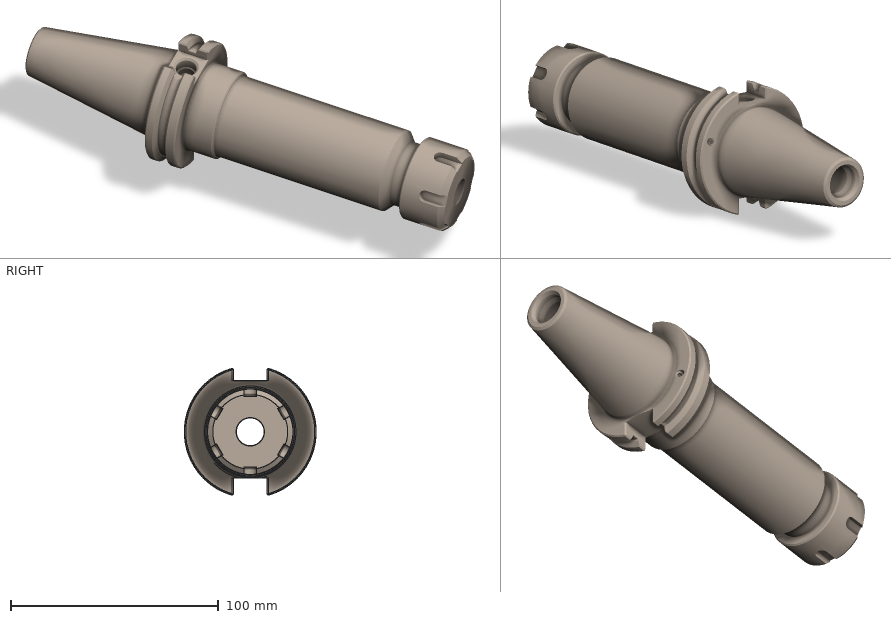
import cadquery as cq
import math

TOTAL_LENGTH = 223.7
TAPER_END_X = 68.7
FLANGE_FRONT_X = 71.8
FLANGE_BACK_X = 87.7
SHOULDER_X = 103.4
SHAFT_END_X = 190.2
NECK_START_X = 194.2
NUT_BACK_X = 201.0
NUT_CAVITY_END_X = 219.2

GAUGE_DIAMETER = 44.5
TAPER_RATIO = 7 / 24
FLANGE_DIAMETER = 63.5
SHOULDER_DIAMETER = 44.0
SHAFT_DIAMETER = 41.0
NECK_DIAMETER = 32.0
END_CHAMFER_LENGTH = 1.0
END_CHAMFER_DEPTH = 1.1
SHOULDER_CHAMFER = 0.7
SHOULDER_FILLET = 0.7
FRONT_FILLET = 1.1
BACK_FILLET = 1.0

ARC_INSET = 1 - math.sqrt(0.5)

RIM_CHAMFER = 0.7
GROOVE_CENTER_X = 79.5
GROOVE_FLOOR_WIDTH = 4.0
GROOVE_FLOOR_DIAMETER = 56.4
GROOVE_V_DEPTH = 2.7
GROOVE_WALL_ANGLE = 30.0

SLOT_WIDTH = 16.0
SLOT_CHAMFER = 0.7
UPPER_SLOT_FLOOR_Z = 24.5
LOWER_SLOT_FLOOR_Z = -22.4
DRILL_DIAMETER = 8.0
DRILL_THREAD_DIAMETER = 10.0
DRILL_MOUTH_DIAMETER = 12.0
DRILL_THREAD_DEPTH = 5.5
DRILL_DEPTH = 9.0
DRILL_TIP_ANGLE = 130.0

BORE_DIAMETER = 13.5
MOUTH_DIAMETER = 18.1
THREAD_DIAMETER = 16.0
MOUTH_CHAMFER_END_X = 2.0
THREAD_END_X = 4.7
BORE_START_X = 7.0

NUT_DIAMETER = 41.4
NUT_BACK_CHAMFER = 0.7
NUT_FRONT_CHAMFER = 2.7
WRENCH_SLOT_COUNT = 6
WRENCH_SLOT_WIDTH = 6.0
WRENCH_SLOT_LENGTH = 13.2
WRENCH_SLOT_FLOOR_RADIUS = 17.0

SCREW_DIAMETER = 4.0
SCREW_LENGTH = 3.4
SCREW_RECESS = 1.8
SCREW_TILT = 44.0
SCREW_SPACING_Y = 25.3
SCREW_SPACING_Z = 9.0
HEX_WIDTH = 2.0
HEX_DEPTH = 1.3


def x_cylinder(start_x, end_x, diameter):
    return cq.Workplane("YZ", origin=(start_x, 0, 0)).circle(diameter / 2).extrude(end_x - start_x)


def revolve_about_x(outline):
    return outline.close().revolve(360, (0, 0, 0), (1, 0, 0))



def holder_blank():
    taper_end_radius = GAUGE_DIAMETER / 2
    small_end_radius = taper_end_radius - TAPER_END_X * TAPER_RATIO / 2
    chamfered_radius = small_end_radius + END_CHAMFER_LENGTH * TAPER_RATIO / 2
    rim_radius = FLANGE_DIAMETER / 2
    groove_v_radius = rim_radius - GROOVE_V_DEPTH
    groove_floor_radius = GROOVE_FLOOR_DIAMETER / 2
    floor_half = GROOVE_FLOOR_WIDTH / 2
    groove_half = floor_half + GROOVE_V_DEPTH * math.tan(math.radians(GROOVE_WALL_ANGLE))
    shoulder_radius = SHOULDER_DIAMETER / 2
    shaft_radius = SHAFT_DIAMETER / 2
    neck_radius = NECK_DIAMETER / 2
    front_inset = FRONT_FILLET * ARC_INSET
    back_inset = BACK_FILLET * ARC_INSET
    shoulder_inset = SHOULDER_FILLET * ARC_INSET
    outline = (
        cq.Workplane("XY")
        .lineTo(0, small_end_radius - END_CHAMFER_DEPTH)
        .lineTo(END_CHAMFER_LENGTH, chamfered_radius)
        .lineTo(TAPER_END_X, taper_end_radius)
        .lineTo(FLANGE_FRONT_X - FRONT_FILLET, taper_end_radius)
        .threePointArc(
            (FLANGE_FRONT_X - front_inset, taper_end_radius + front_inset),
            (FLANGE_FRONT_X, taper_end_radius + FRONT_FILLET),
        )
        .lineTo(FLANGE_FRONT_X, rim_radius - RIM_CHAMFER)
        .lineTo(FLANGE_FRONT_X + RIM_CHAMFER, rim_radius)
        .lineTo(GROOVE_CENTER_X - groove_half, rim_radius)
        .lineTo(GROOVE_CENTER_X - floor_half, groove_v_radius)
        .lineTo(GROOVE_CENTER_X - floor_half, groove_floor_radius)
        .lineTo(GROOVE_CENTER_X + floor_half, groove_floor_radius)
        .lineTo(GROOVE_CENTER_X + floor_half, groove_v_radius)
        .lineTo(GROOVE_CENTER_X + groove_half, rim_radius)
        .lineTo(FLANGE_BACK_X - RIM_CHAMFER, rim_radius)
        .lineTo(FLANGE_BACK_X, rim_radius - RIM_CHAMFER)
        .lineTo(FLANGE_BACK_X, shoulder_radius + BACK_FILLET)
        .threePointArc(
            (FLANGE_BACK_X + back_inset, shoulder_radius + back_inset),
            (FLANGE_BACK_X + BACK_FILLET, shoulder_radius),
        )
        .lineTo(SHOULDER_X - SHOULDER_CHAMFER, shoulder_radius)
        .lineTo(SHOULDER_X, shoulder_radius - SHOULDER_CHAMFER)
        .lineTo(SHOULDER_X, shaft_radius + SHOULDER_FILLET)
        .threePointArc(
            (SHOULDER_X + shoulder_inset, shaft_radius + shoulder_inset),
            (SHOULDER_X + SHOULDER_FILLET, shaft_radius),
        )
        .lineTo(SHAFT_END_X, shaft_radius)
        .lineTo(NECK_START_X, neck_radius)
        .lineTo(NUT_CAVITY_END_X, neck_radius)
        .lineTo(NUT_CAVITY_END_X, 0)
    )
    return revolve_about_x(outline)


def stepped_bore():
    outline = (
        cq.Workplane("XY")
        .lineTo(0, MOUTH_DIAMETER / 2)
        .lineTo(MOUTH_CHAMFER_END_X, THREAD_DIAMETER / 2)
        .lineTo(THREAD_END_X, THREAD_DIAMETER / 2)
        .lineTo(BORE_START_X, BORE_DIAMETER / 2)
        .lineTo(TOTAL_LENGTH, BORE_DIAMETER / 2)
        .lineTo(TOTAL_LENGTH, 0)
    )
    return revolve_about_x(outline)


def drive_slot(floor_z):
    """Slot across the flange, with chamfered edges at both faces and along the rim."""
    side = math.copysign(1, floor_z)
    half_width = SLOT_WIDTH / 2
    mouth_half = half_width + SLOT_CHAMFER
    start_x = FLANGE_FRONT_X - FRONT_FILLET
    end_x = FLANGE_BACK_X + BACK_FILLET
    rim_z = side * math.sqrt((FLANGE_DIAMETER / 2) ** 2 - mouth_half ** 2)
    outer_z = side * FLANGE_DIAMETER
    face_to_face = (
        cq.Workplane("XY", origin=(0, 0, floor_z))
        .moveTo(start_x, -mouth_half)
        .lineTo(FLANGE_FRONT_X, -mouth_half)
        .lineTo(FLANGE_FRONT_X + SLOT_CHAMFER, -half_width)
        .lineTo(FLANGE_BACK_X - SLOT_CHAMFER, -half_width)
        .lineTo(FLANGE_BACK_X, -mouth_half)
        .lineTo(end_x, -mouth_half)
        .lineTo(end_x, mouth_half)
        .lineTo(FLANGE_BACK_X, mouth_half)
        .lineTo(FLANGE_BACK_X - SLOT_CHAMFER, half_width)
        .lineTo(FLANGE_FRONT_X + SLOT_CHAMFER, half_width)
        .lineTo(FLANGE_FRONT_X, mouth_half)
        .lineTo(start_x, mouth_half)
        .close()
        .extrude(outer_z - floor_z)
    )
    rim_flare = (
        cq.Workplane("YZ", origin=(start_x, 0, 0))
        .moveTo(-half_width, rim_z - side * SLOT_CHAMFER)
        .lineTo(-mouth_half, rim_z)
        .lineTo(-mouth_half, outer_z)
        .lineTo(mouth_half, outer_z)
        .lineTo(mouth_half, rim_z)
        .lineTo(half_width, rim_z - side * SLOT_CHAMFER)
        .close()
        .extrude(end_x - start_x)
    )
    return face_to_face.union(rim_flare)


def drilled_hole():
    radius = DRILL_DIAMETER / 2
    thread_radius = DRILL_THREAD_DIAMETER / 2
    mouth_radius = DRILL_MOUTH_DIAMETER / 2
    tip_depth = radius / math.tan(math.radians(DRILL_TIP_ANGLE / 2))
    return (
        cq.Workplane("XZ", origin=((FLANGE_FRONT_X + FLANGE_BACK_X) / 2, 0, UPPER_SLOT_FLOOR_Z))
        .lineTo(mouth_radius, 0)
        .lineTo(thread_radius, thread_radius - mouth_radius)
        .lineTo(thread_radius, -DRILL_THREAD_DEPTH)
        .lineTo(radius, -DRILL_THREAD_DEPTH)
        .lineTo(radius, -DRILL_DEPTH)
        .lineTo(0, -DRILL_DEPTH - tip_depth)
        .close()
        .revolve(360, (0, 0, 0), (0, 1, 0))
    )



def screw_plane(side):
    """Plane on the flange face whose normal runs down a screw hole, toward the tool axis."""
    y = side * SCREW_SPACING_Y
    z = side * SCREW_SPACING_Z
    radius = math.hypot(y, z)
    inward = math.sin(math.radians(SCREW_TILT))
    normal = cq.Vector(math.cos(math.radians(SCREW_TILT)), -inward * y / radius, -inward * z / radius)
    tangent = cq.Vector(0, -z, y)
    return cq.Plane(origin=(FLANGE_FRONT_X, y, z), xDir=tangent, normal=normal)


def screw_hole(side):
    depth = SCREW_RECESS + SCREW_LENGTH
    return (
        cq.Workplane(screw_plane(side))
        .workplane(offset=-SCREW_DIAMETER)
        .circle(SCREW_DIAMETER / 2)
        .extrude(SCREW_DIAMETER + depth)
    )


def sealing_screw(side):
    head = cq.Workplane(screw_plane(side)).workplane(offset=SCREW_RECESS)
    body = head.circle(SCREW_DIAMETER / 2).extrude(SCREW_LENGTH)
    hex_socket = head.polygon(6, HEX_WIDTH, circumscribed=True).extrude(HEX_DEPTH)
    return body.cut(hex_socket)



def wrench_slot(angle):
    """Slot with a rounded inner end, open at the front of the nut."""
    half_width = WRENCH_SLOT_WIDTH / 2
    arc_x = TOTAL_LENGTH - WRENCH_SLOT_LENGTH + half_width
    return (
        cq.Workplane("XY", origin=(0, 0, WRENCH_SLOT_FLOOR_RADIUS))
        .moveTo(TOTAL_LENGTH, -half_width)
        .lineTo(arc_x, -half_width)
        .threePointArc((arc_x - half_width, 0), (arc_x, half_width))
        .lineTo(TOTAL_LENGTH, half_width)
        .close()
        .extrude(NUT_DIAMETER / 2)
        .rotate((0, 0, 0), (1, 0, 0), angle)
    )


def clamping_nut():
    nut = x_cylinder(NUT_BACK_X, TOTAL_LENGTH, NUT_DIAMETER)
    nut = nut.faces("<X").chamfer(NUT_BACK_CHAMFER).faces(">X").chamfer(NUT_FRONT_CHAMFER)
    nut = nut.cut(x_cylinder(NUT_BACK_X, NUT_CAVITY_END_X, NECK_DIAMETER))
    nut = nut.cut(x_cylinder(NUT_CAVITY_END_X, TOTAL_LENGTH, BORE_DIAMETER))
    for index in range(WRENCH_SLOT_COUNT):
        nut = nut.cut(wrench_slot(index * 360 / WRENCH_SLOT_COUNT))
    return nut


SCREW_SIDES = (1, -1)

holder = holder_blank().cut(stepped_bore())
for slot_floor_z in (UPPER_SLOT_FLOOR_Z, LOWER_SLOT_FLOOR_Z):
    holder = holder.cut(drive_slot(slot_floor_z))
holder = holder.cut(drilled_hole())
for hole_side in SCREW_SIDES:
    holder = holder.cut(screw_hole(hole_side))

nut = clamping_nut()
screws = [sealing_screw(side) for side in SCREW_SIDES]

result = cq.Compound.makeCompound([holder.val(), nut.val(), *[screw.val() for screw in screws]])